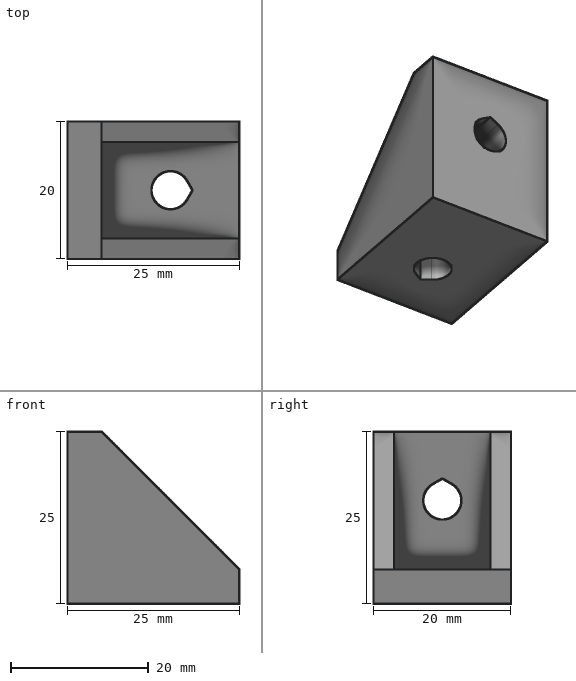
import cadquery as cq
import math

leg_length = 25.0
width = 20.0
plate_thickness = 5.0
gusset_thickness = 3.0
hole_diameter = 5.5
hole_offset = 15.0
peak_half_angle = 60.0

hole_radius = hole_diameter / 2
pocket_width = width - 2 * gusset_thickness


def peaked_hole(plane):
    """Round hole with two tangent flanks meeting in a peak along the plane's local X."""
    tangent_x = hole_radius * math.sin(math.radians(peak_half_angle))
    tangent_y = hole_radius * math.cos(math.radians(peak_half_angle))
    peak_x = hole_radius / math.sin(math.radians(peak_half_angle))
    return (
        cq.Workplane(plane)
        .moveTo(tangent_x, tangent_y)
        .threePointArc((-hole_radius, 0), (tangent_x, -tangent_y))
        .lineTo(peak_x, 0)
        .close()
        .extrude(plate_thickness)
    )


def bracket_body():
    """Right-angled bracket profile with a sloped face joining the two leg ends."""
    return (
        cq.Workplane("XZ", origin=(0, width / 2, 0))
        .moveTo(0, 0)
        .lineTo(leg_length, 0)
        .lineTo(leg_length, plate_thickness)
        .lineTo(plate_thickness, leg_length)
        .lineTo(0, leg_length)
        .close()
        .extrude(width)
    )


def pocket():
    """Space between the gussets, open towards the sloped face."""
    depth = leg_length - plate_thickness
    block = cq.Workplane("XY").box(depth, pocket_width, depth, centered=(False, True, False))
    return block.translate((plate_thickness, 0, plate_thickness))


base_hole_plane = cq.Plane(origin=(hole_offset, 0, 0), xDir=(1, 0, 0), normal=(0, 0, 1))
wall_hole_plane = cq.Plane(origin=(0, 0, hole_offset), xDir=(0, 0, 1), normal=(1, 0, 0))

result = bracket_body().cut(pocket())
for hole_plane in (base_hole_plane, wall_hole_plane):
    result = result.cut(peaked_hole(hole_plane))